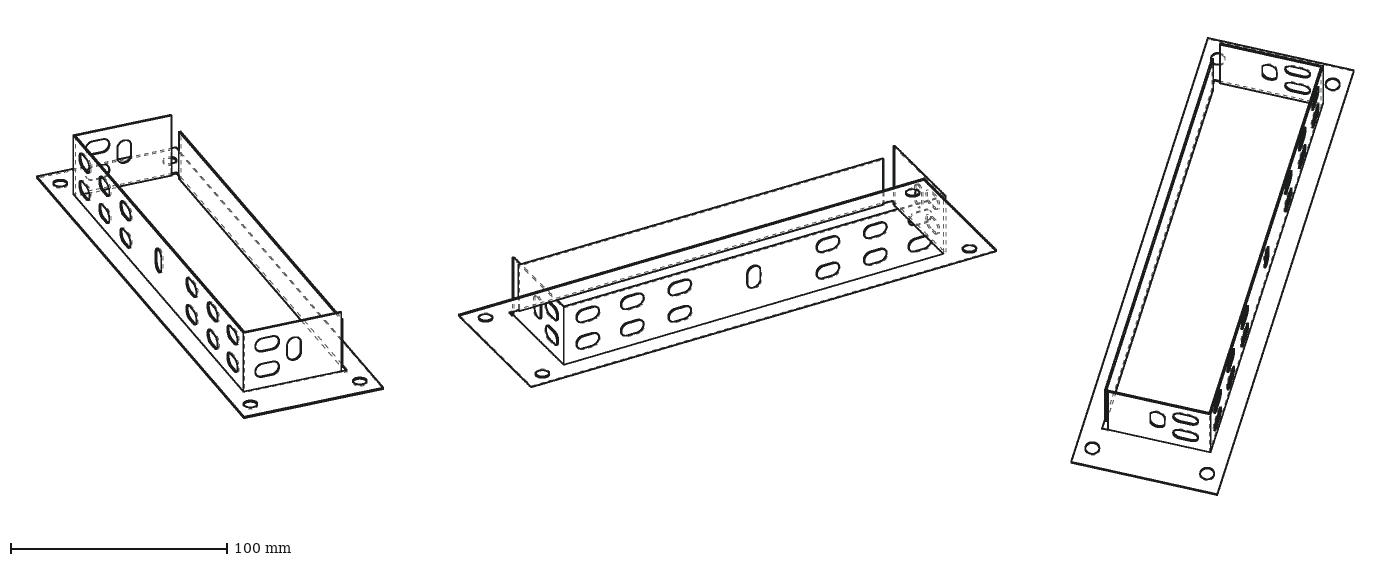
import cadquery as cq

PLATE_LENGTH = 245.0
PLATE_WIDTH = 70.0
SHEET = 0.8

WINDOW_LENGTH = 201.5
WINDOW_WIDTH = 52.0
HALF_LENGTH = WINDOW_LENGTH / 2
HALF_WIDTH = WINDOW_WIDTH / 2

MOUNT_HOLE_DIAMETER = 6.5
MOUNT_SPACING_X = 225.0
MOUNT_SPACING_Y = 55.0

WALL_HEIGHT = 32.0
BACK_WALL_HEIGHT = 25.0
BACK_WALL_CLEARANCE = 4.0
SIDE_WALL_CLEARANCE = 2.0

SLOT_LENGTH = 12.0
SLOT_WIDTH = 7.0
CENTER_SLOT_Z = 18.0
FRONT_SLOT_OFFSETS = (39.0, 64.0, 87.5)
FRONT_SLOT_LEVELS = (9.5, 24.0)
SIDE_SLOT_Y = -14.0
SIDE_SLOT_LEVELS = (10.0, 23.5)
SIDE_CENTER_SLOT_Y = -0.5

UPRIGHT = 90


def make_plate():
    """Flat flange with its window and four mounting holes, underside at Z = 0."""
    plate = (
        cq.Workplane("XY")
        .rect(PLATE_LENGTH, PLATE_WIDTH)
        .rect(WINDOW_LENGTH, WINDOW_WIDTH)
        .extrude(SHEET)
    )
    holes = (
        cq.Workplane("XY")
        .rect(MOUNT_SPACING_X, MOUNT_SPACING_Y, forConstruction=True)
        .vertices()
        .circle(MOUNT_HOLE_DIAMETER / 2)
        .extrude(SHEET)
    )
    return plate.cut(holes)


def make_wall(x_min, x_max, y_min, y_max, height):
    """Upright sheet filling the given footprint from Z = 0 to the given height."""
    return (
        cq.Workplane("XY")
        .box(x_max - x_min, y_max - y_min, height, centered=False)
        .translate((x_min, y_min, 0))
    )


def make_slots(plane, points, angle=0):
    """Slot cutters centred on a plane and long enough to pass through one wall."""
    return (
        cq.Workplane(plane)
        .pushPoints(points)
        .slot2D(SLOT_LENGTH, SLOT_WIDTH, angle)
        .extrude(2 * SHEET, both=True)
    )


def make_front_wall():
    """Long wall at -Y with two rows of slots and one upright slot in the middle."""
    wall = make_wall(-HALF_LENGTH, HALF_LENGTH, -HALF_WIDTH, -HALF_WIDTH + SHEET, WALL_HEIGHT)
    row_points = [
        (side * offset, level)
        for side in (-1, 1)
        for offset in FRONT_SLOT_OFFSETS
        for level in FRONT_SLOT_LEVELS
    ]
    plane = cq.Plane(origin=(0, -HALF_WIDTH, 0), xDir=(1, 0, 0), normal=(0, -1, 0))
    wall = wall.cut(make_slots(plane, row_points))
    return wall.cut(make_slots(plane, [(0, CENTER_SLOT_Z)], UPRIGHT))


def make_left_wall():
    """Short wall at -X with a pair of slots and one upright slot."""
    wall_end = HALF_WIDTH - SHEET - SIDE_WALL_CLEARANCE
    wall = make_wall(-HALF_LENGTH, -HALF_LENGTH + SHEET, -HALF_WIDTH, wall_end, WALL_HEIGHT)
    pair_points = [(SIDE_SLOT_Y, level) for level in SIDE_SLOT_LEVELS]
    plane = cq.Plane(origin=(-HALF_LENGTH, 0, 0), xDir=(0, 1, 0), normal=(1, 0, 0))
    wall = wall.cut(make_slots(plane, pair_points))
    return wall.cut(make_slots(plane, [(SIDE_CENTER_SLOT_Y, CENTER_SLOT_Z)], UPRIGHT))


def make_back_wall():
    """Plain lower wall at +Y, stopping short of both window corners."""
    half_back = HALF_LENGTH - SHEET - BACK_WALL_CLEARANCE
    return make_wall(-half_back, half_back, HALF_WIDTH - SHEET, HALF_WIDTH, BACK_WALL_HEIGHT)


left_wall = make_left_wall()
right_wall = left_wall.mirror("YZ")
result = make_plate()
for wall in (make_front_wall(), make_back_wall(), left_wall, right_wall):
    result = result.union(wall)